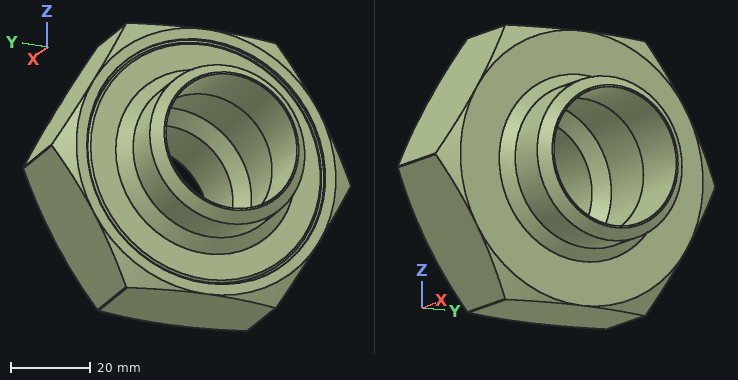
import cadquery as cq
import math

overall_length = 59.0
corner_width = 81.8
nut_width = 25.4
across_flats = 71.0
nut_crown_angle = math.radians(30)

pipe_radius = 21.2
bore_radius = 17.9
land_radius = 18.4
collar_radius = 24.55

face_recess = 0.4
flange_rim_radius = 31.4
groove_inner_radius = 32.0
groove_outer_radius = 32.65

chamber_radius = 21.5
chamber_inset = 16.5

flat_radius = across_flats / 2
sharp_corner_width = across_flats / math.cos(math.pi / 6)
end_x = overall_length / 2
nut_x = nut_width / 2
flange_x = nut_x - face_recess
bevel_length = pipe_radius - land_radius
collar_length = collar_radius - pipe_radius
rim_chamfer = groove_inner_radius - flange_rim_radius
groove_floor_x = flange_x - rim_chamfer
chamber_end_x = end_x - chamber_inset
chamber_flare = chamber_radius - bore_radius


def revolve_about_x(points):
    """Revolve a closed (x, radius) outline about the X axis."""
    return cq.Workplane("XY").polyline(points).close().revolve(360, (0, 0, 0), (1, 0, 0))


def hex_nut():
    """Hexagon with corners on +Y and -Y, turned slightly blunt there and crowned at both faces."""
    corner_radius = corner_width / 2
    crown_depth = (corner_radius - flat_radius) * math.tan(nut_crown_angle)
    prism = (
        cq.Workplane("YZ")
        .polygon(6, sharp_corner_width)
        .extrude(nut_width)
        .translate((-nut_x, 0, 0))
    )
    crown = revolve_about_x([
        (-nut_x, 0),
        (-nut_x, flat_radius),
        (-nut_x + crown_depth, corner_radius),
        (nut_x - crown_depth, corner_radius),
        (nut_x, flat_radius),
        (nut_x, 0),
    ])
    return prism.intersect(crown)


def welding_end():
    """Bevelled pipe end at -X with a conical collar running into the flange."""
    return revolve_about_x([
        (-end_x, 0),
        (-end_x, land_radius),
        (-end_x + bevel_length, pipe_radius),
        (-flange_x - collar_length, pipe_radius),
        (-flange_x, collar_radius),
        (0, collar_radius),
        (0, 0),
    ])


def face_cut():
    """Recess at the -X nut face, with a groove around the chamfered flange rim."""
    return revolve_about_x([
        (-nut_x, 0),
        (-nut_x, groove_outer_radius),
        (-groove_floor_x, groove_outer_radius),
        (-groove_floor_x, groove_inner_radius),
        (-flange_x, flange_rim_radius),
        (-flange_x, 0),
    ])


def bore():
    """Through bore that flares at 45 degrees into the middle chamber."""
    return revolve_about_x([
        (-end_x, 0),
        (-end_x, bore_radius),
        (-chamber_end_x, bore_radius),
        (-chamber_end_x + chamber_flare, chamber_radius),
        (chamber_end_x - chamber_flare, chamber_radius),
        (chamber_end_x, bore_radius),
        (end_x, bore_radius),
        (end_x, 0),
    ])


left_end = welding_end()
right_end = left_end.mirror("YZ")
result = hex_nut().cut(face_cut()).union(left_end).union(right_end).cut(bore())